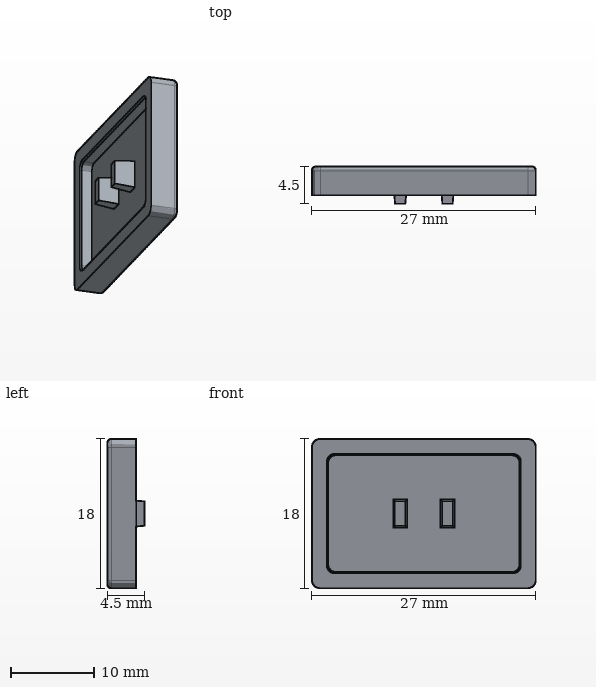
import cadquery as cq

plate_width = 27.0
plate_height = 18.0
plate_thickness = 3.5
corner_radius = 1.0
back_edge_radius = 0.5

pocket_width = 23.0
pocket_height = 14.0
pocket_depth = 1.5
pocket_corner_radius = 0.8
mouth_chamfer = 0.2

peg_spacing = 5.7
peg_base_width = 1.7
peg_base_height = 3.4
peg_projection = 1.0
peg_draft_angle = 5.0

peg_length = pocket_depth + peg_projection


def make_plate():
    """Rounded plate from Y = 0 to the back, with a rounded back edge."""
    return (
        cq.Workplane("XZ")
        .rect(plate_width, plate_height)
        .extrude(-plate_thickness)
        .edges("|Y")
        .fillet(corner_radius)
        .faces(">Y")
        .edges()
        .fillet(back_edge_radius)
    )


def cut_pocket(plate):
    """Sink the pocket into the rim face and chamfer its mouth."""
    pocket = (
        cq.Workplane("XZ")
        .rect(pocket_width, pocket_height)
        .extrude(-pocket_depth)
        .edges("|Y")
        .fillet(pocket_corner_radius)
    )
    mouth_edges = cq.selectors.BoxSelector(
        (-plate_width / 2 + corner_radius, -mouth_chamfer, -plate_height / 2 + corner_radius),
        (plate_width / 2 - corner_radius, mouth_chamfer, plate_height / 2 - corner_radius),
    )
    return plate.cut(pocket).edges(mouth_edges).chamfer(mouth_chamfer)


def make_peg(center_x):
    """Rectangular peg tapering from the pocket floor to its tip."""
    return (
        cq.Workplane("XZ", origin=(center_x, pocket_depth, 0))
        .rect(peg_base_width, peg_base_height)
        .extrude(peg_length, taper=peg_draft_angle)
    )


result = cut_pocket(make_plate())
for side in (-1, 1):
    result = result.union(make_peg(side * peg_spacing / 2))